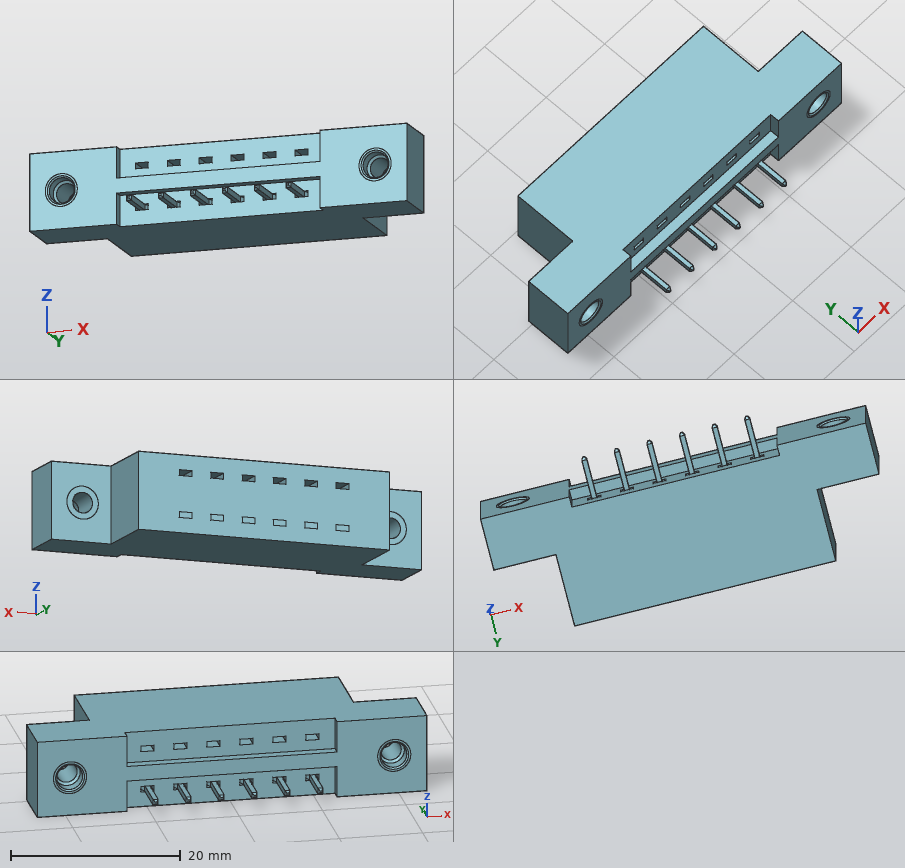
import cadquery as cq
LENGTH = 46.8
HEIGHT = 9.4
FLANGE_DEPTH = 6.35
BODY_LENGTH = 31.72
BODY_DEPTH = 15.25

RECESS_LENGTH = 25.2
RECESS_DEPTH = 1.25
RIB_HEIGHT = 1.82

CONTACT_COUNT = 6
CONTACT_SPAN = 19.8
CONTACT_PITCH = CONTACT_SPAN / (CONTACT_COUNT - 1)
ROW_OFFSET = 2.55
SLOT_WIDTH = 1.6
SLOT_HEIGHT = 0.7

PIN_WIDTH = 0.6
PIN_PROTRUSION = 3.8
TIP_LENGTH = 0.35
TIP_WIDTH = 0.25
SHOULDER_INSET = 0.3
SHOULDER_START = RECESS_DEPTH + SHOULDER_INSET
SHOULDER_LENGTH = 1.05

BUSHING_SPACING = 38.95
BUSHING_DIAMETER = 4.0
MOUTH_DIAMETER = 3.45
MOUTH_CHAMFER = 0.2
COUNTERBORE_DIAMETER = MOUTH_DIAMETER - 2 * MOUTH_CHAMFER
COUNTERBORE_DEPTH = 1.65
BORE_DIAMETER = 2.5

contact_xs = [i * CONTACT_PITCH - CONTACT_SPAN / 2 for i in range(CONTACT_COUNT)]
bushing_xs = [-BUSHING_SPACING / 2, BUSHING_SPACING / 2]


def block(length, depth, height, x=0.0, y=0.0, z=0.0):
    """Box centred on x and z that reaches from y towards +Y."""
    return cq.Workplane().box(length, depth, height, centered=(True, False, True)).translate((x, y, z))


def rod(diameter, depth, x):
    """Cylinder along Y that starts on the front face."""
    return cq.Workplane(cq.Solid.makeCylinder(diameter / 2, depth, cq.Vector(x, 0, 0), cq.Vector(0, 1, 0)))


def make_housing():
    housing = block(LENGTH, FLANGE_DEPTH, HEIGHT).union(block(BODY_LENGTH, BODY_DEPTH, HEIGHT))

    recess_height = (HEIGHT - RIB_HEIGHT) / 2
    recess_z = (HEIGHT - recess_height) / 2
    for side in (-1, 1):
        housing = housing.cut(block(RECESS_LENGTH, RECESS_DEPTH, recess_height, z=side * recess_z))
        for x in contact_xs:
            housing = housing.cut(block(SLOT_WIDTH, BODY_DEPTH, SLOT_HEIGHT, x=x, z=side * ROW_OFFSET))

    for x in bushing_xs:
        housing = housing.cut(rod(BUSHING_DIAMETER, FLANGE_DEPTH, x))
    return housing


def make_contact(x):
    """Blade that fills a lower slot and narrows through sloped shoulders to a pin with a tapered tip."""
    shoulder_end = SHOULDER_START + SHOULDER_LENGTH
    tip_base = TIP_LENGTH - PIN_PROTRUSION
    half_pin = PIN_WIDTH / 2
    half_blade = SLOT_WIDTH / 2

    blade = (
        cq.Workplane("XY", origin=(0, 0, -SLOT_HEIGHT / 2))
        .moveTo(-half_pin, SHOULDER_START)
        .lineTo(half_pin, SHOULDER_START)
        .lineTo(half_blade, shoulder_end)
        .lineTo(half_blade, BODY_DEPTH)
        .lineTo(-half_blade, BODY_DEPTH)
        .lineTo(-half_blade, shoulder_end)
        .close()
        .extrude(SLOT_HEIGHT)
    )
    pin = block(PIN_WIDTH, SHOULDER_START - tip_base, SLOT_HEIGHT, y=tip_base)
    tip = (
        cq.Workplane("XZ", origin=(0, tip_base, 0))
        .rect(PIN_WIDTH, SLOT_HEIGHT)
        .workplane(offset=TIP_LENGTH)
        .rect(TIP_WIDTH, TIP_WIDTH)
        .loft(ruled=True)
    )
    return blade.union(pin).union(tip).translate((x, 0, -ROW_OFFSET))


def make_bushing(x):
    """Sleeve through a flange, revolved from its half section, with both inner slopes at 45 degrees."""
    mouth_radius = MOUTH_DIAMETER / 2
    counterbore_radius = COUNTERBORE_DIAMETER / 2
    bore_radius = BORE_DIAMETER / 2
    taper_end = COUNTERBORE_DEPTH + counterbore_radius - bore_radius

    half_section = [
        (BUSHING_DIAMETER / 2, 0),
        (mouth_radius, 0),
        (counterbore_radius, MOUTH_CHAMFER),
        (counterbore_radius, COUNTERBORE_DEPTH),
        (bore_radius, taper_end),
        (bore_radius, FLANGE_DEPTH),
        (BUSHING_DIAMETER / 2, FLANGE_DEPTH),
    ]
    sleeve = cq.Workplane("XY").polyline(half_section).close().revolve(360, (0, 0, 0), (0, 1, 0))
    return sleeve.translate((x, 0, 0))


housing = make_housing()
contacts = [make_contact(x) for x in contact_xs]
bushings = [make_bushing(x) for x in bushing_xs]

result = cq.Compound.makeCompound(
    [housing.val(), *[contact.val() for contact in contacts], *[bushing.val() for bushing in bushings]]
)